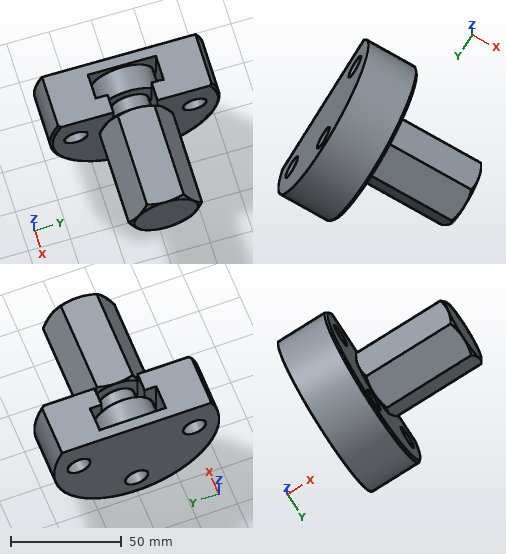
import cadquery as cq
import math


flange_diameter = 80.0
flange_thickness = 26.0
flange_flat_height = 17.0
flange_chamfer = 1.0
mounting_hole_diameter = 11.0
mounting_circle_radius = 28.0
mounting_hole_angles = (0, 180, 270)

slot_back_wall = 5.0
head_slot_width = 32.0
neck_slot_width = 20.8

head_diameter = 29.5
head_thickness = 12.0
neck_diameter = 17.8
hex_across_flats = 30.0
hex_length = 48.0
hex_chamfer_angle = 30.0

head_front = slot_back_wall + head_thickness
neck_length = flange_thickness - head_front
hex_across_corners = hex_across_flats / math.cos(math.radians(30))
hex_corner_radius = hex_across_corners / 2
hex_end_radius = hex_across_flats / 2
hex_chamfer_length = (hex_corner_radius - hex_end_radius) * math.tan(math.radians(hex_chamfer_angle))
hex_end = flange_thickness + hex_length


def plane_at(x):
    """Plane across the shaft axis, with local axes along Y and Z and normal +X."""
    return cq.Workplane("YZ", origin=(x, 0, 0))


def cylinder(x, diameter, length):
    return plane_at(x).circle(diameter / 2).extrude(length)


def slot_cutter(x, width, length):
    """Round-bottomed slot around the shaft axis, open upwards."""
    half_width = width / 2
    return (
        plane_at(x)
        .moveTo(half_width, flange_flat_height)
        .lineTo(half_width, 0)
        .threePointArc((0, -half_width), (-half_width, 0))
        .lineTo(-half_width, flange_flat_height)
        .close()
        .extrude(length)
    )


def make_flange():
    disc = cylinder(0, flange_diameter, flange_thickness)
    disc = disc.faces(">X").edges().chamfer(flange_chamfer)

    above_flat = (
        cq.Workplane("XY", origin=(0, 0, flange_flat_height))
        .rect(2 * flange_diameter, 2 * flange_diameter)
        .extrude(flange_diameter)
    )
    body = disc.cut(above_flat)

    for angle in mounting_hole_angles:
        y = mounting_circle_radius * math.cos(math.radians(angle))
        z = mounting_circle_radius * math.sin(math.radians(angle))
        hole = cylinder(0, mounting_hole_diameter, flange_thickness)
        body = body.cut(hole.translate((0, y, z)))

    body = body.cut(slot_cutter(slot_back_wall, head_slot_width, head_thickness))
    return body.cut(slot_cutter(head_front, neck_slot_width, neck_length))


def make_hex_shank():
    """Hexagonal bar with corners on +-Y and conical chamfers at both ends."""
    bar = plane_at(flange_thickness).polygon(6, hex_across_corners).extrude(hex_length)

    chamfer_envelope = (
        cq.Workplane("XY")
        .moveTo(flange_thickness, 0)
        .lineTo(flange_thickness, hex_end_radius)
        .lineTo(flange_thickness + hex_chamfer_length, hex_corner_radius)
        .lineTo(hex_end - hex_chamfer_length, hex_corner_radius)
        .lineTo(hex_end, hex_end_radius)
        .lineTo(hex_end, 0)
        .close()
        .revolve(360, (0, 0, 0), (1, 0, 0))
    )
    return bar.intersect(chamfer_envelope)


def make_coupling():
    head = cylinder(slot_back_wall, head_diameter, head_thickness)
    neck = cylinder(head_front, neck_diameter, neck_length)
    return head.union(neck).union(make_hex_shank())


flange = make_flange()
coupling = make_coupling()

result = cq.Compound.makeCompound([flange.val(), coupling.val()])